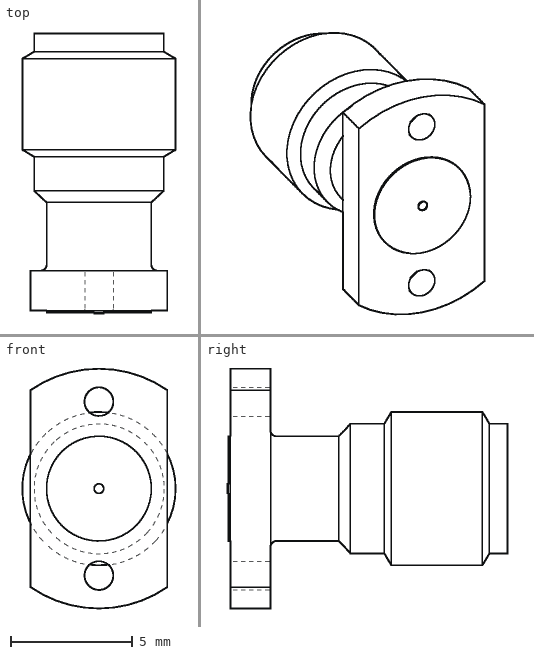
import cadquery as cq

pin_tip = 0
insulator_face = 0.05
flange_front = 0.13
flange_back = 1.78
fillet_radius = 0.25
neck_end = 4.59
collar_start = 5.07
nut_start = 6.47
nut_end = 10.81
overall_length = 11.56

pin_radius = 0.2
neck_radius = 2.16
collar_radius = 2.68
nut_radius = 3.17
nut_chamfer_length = 0.29

flange_radius = 4.95
flange_width = 5.65
hole_radius = 0.59
hole_offset = 3.58


def cylinder(radius, start, end):
    """Cylinder on the Y axis between two stations."""
    return cq.Workplane("XZ", origin=(0, start, 0)).circle(radius).extrude(start - end)


def make_flange():
    """Round plate with two flat sides and two mounting holes."""
    disc = cylinder(flange_radius, flange_front, flange_back)
    thickness = flange_back - flange_front
    flats = cq.Workplane("XY").box(flange_width, thickness, 2 * flange_radius)
    plate = disc.intersect(flats.translate((0, flange_front + thickness / 2, 0)))
    holes = (
        cq.Workplane("XZ", origin=(0, flange_front, 0))
        .pushPoints([(0, hole_offset), (0, -hole_offset)])
        .circle(hole_radius)
        .extrude(-thickness)
    )
    return plate.cut(holes)


def make_barrel():
    """Revolved insulator face, neck, collar, coupling nut and end sleeve."""
    return (
        cq.Workplane("XY")
        .moveTo(0, insulator_face)
        .lineTo(neck_radius, insulator_face)
        .lineTo(neck_radius, flange_back)
        .lineTo(neck_radius + fillet_radius, flange_back)
        .radiusArc((neck_radius, flange_back + fillet_radius), fillet_radius)
        .lineTo(neck_radius, neck_end)
        .lineTo(collar_radius, collar_start)
        .lineTo(collar_radius, nut_start)
        .lineTo(nut_radius, nut_start + nut_chamfer_length)
        .lineTo(nut_radius, nut_end - nut_chamfer_length)
        .lineTo(collar_radius, nut_end)
        .lineTo(collar_radius, overall_length)
        .lineTo(0, overall_length)
        .close()
        .revolve(360, (0, 0, 0), (0, 1, 0))
    )


pin = cylinder(pin_radius, pin_tip, flange_back)
result = make_flange().union(make_barrel()).union(pin)